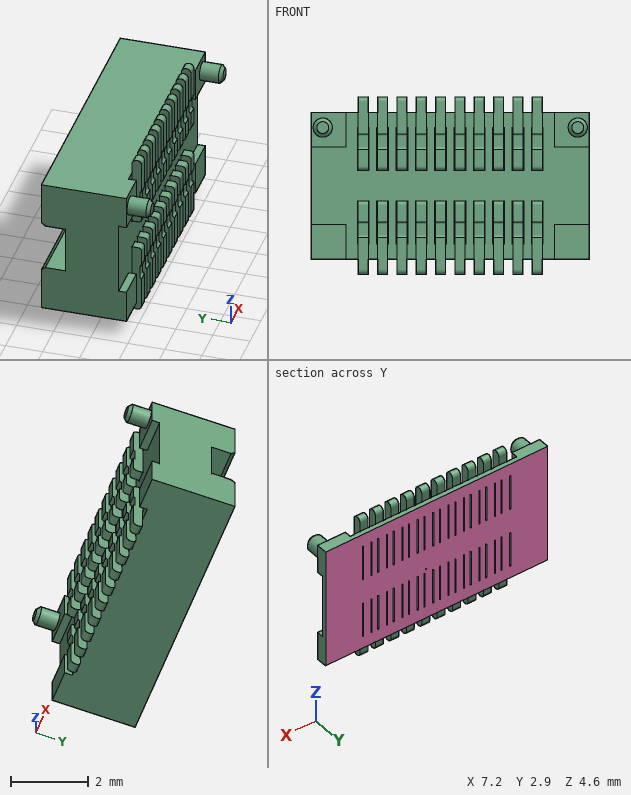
import cadquery as cq
import math


length = 7.2
height = 3.8
depth = 2.3
foot_size = 0.9
foot_height = 0.21
mating_face = depth - foot_height

groove_width = 1.28
groove_depth = 0.65
groove_lead_in = 0.09
groove_lead_in_depth = 0.11

peg_diameter = 0.5
peg_length = 0.605
peg_chamfer = 0.09
peg_end_inset = 0.3
peg_top_inset = 0.395

overall_height = 4.6
contacts_per_row = 10
row_length = 4.5
contact_width = 0.26
contact_thickness = 0.26
contact_length = 1.9
inner_end_radius = 0.1
dip_start = 0.96
dip_end = 1.36
dip_depth = 0.05
dip_radius = 0.065

slot_start = 0.8
slot_width = 0.3
slot_depth = contact_thickness

pitch = row_length / (contacts_per_row - 1)
contact_positions = [i * pitch - row_length / 2 for i in range(contacts_per_row)]
tip_z = overall_height / 2
inner_end_z = tip_z - contact_length


def block(x_range, y_range, z_range):
    """Box between the given (low, high) limits."""
    lows, highs = zip(x_range, y_range, z_range)
    sizes = [high - low for low, high in zip(lows, highs)]
    return cq.Workplane("XY").box(*sizes, centered=False).translate(lows)


def make_housing():
    """Grooved bar with a square foot at each corner of the seat floor."""
    top = height / 2
    groove = groove_width / 2
    mouth = groove + groove_lead_in
    lead_in_end = mating_face - groove_lead_in_depth
    groove_floor = mating_face - groove_depth
    body = (
        cq.Workplane("YZ")
        .polyline([
            (0, -top),
            (mating_face, -top),
            (mating_face, -mouth),
            (lead_in_end, -groove),
            (groove_floor, -groove),
            (groove_floor, groove),
            (lead_in_end, groove),
            (mating_face, mouth),
            (mating_face, top),
            (0, top),
        ])
        .close()
        .extrude(length / 2, both=True)
    )
    foot = block(
        (length / 2 - foot_size, length / 2),
        (-foot_height, 0),
        (top - foot_size, top),
    )
    feet = foot.union(foot.mirror("YZ"))
    return body.union(feet).union(feet.mirror("XY"))


def make_pegs():
    """Chamfered pegs on the two upper feet."""
    peg_x = length / 2 - peg_end_inset
    peg_z = height / 2 - peg_top_inset
    return (
        cq.Workplane("XZ", origin=(0, -foot_height, 0))
        .pushPoints([(-peg_x, peg_z), (peg_x, peg_z)])
        .circle(peg_diameter / 2)
        .extrude(peg_length)
        .faces("<Y")
        .chamfer(peg_chamfer)
    )


def make_contact():
    """Upper contact at X = 0: round outer tip, shallow dip, rounded inner end and a root in its slot."""
    tip_radius = contact_thickness / 2
    outer_face = -contact_thickness
    dip_floor = outer_face + dip_depth
    dip_run = math.sqrt(dip_radius**2 - (dip_radius - dip_depth) ** 2)
    dip_top = tip_z - dip_start
    dip_bottom = tip_z - dip_end
    blade = (
        cq.Workplane("YZ")
        .moveTo(0, tip_z - tip_radius)
        .threePointArc((-tip_radius, tip_z), (outer_face, tip_z - tip_radius))
        .lineTo(outer_face, dip_top)
        .radiusArc((dip_floor, dip_top - dip_run), dip_radius)
        .lineTo(dip_floor, dip_bottom + dip_run)
        .tangentArcPoint((outer_face, dip_bottom), relative=False)
        .lineTo(outer_face, inner_end_z + inner_end_radius)
        .tangentArcPoint((outer_face + inner_end_radius, inner_end_z), relative=False)
        .lineTo(0, inner_end_z)
        .close()
        .extrude(contact_width / 2, both=True)
    )
    return blade.union(slot_block(contact_width))


def slot_block(width):
    """Block of the given width, as deep and as tall as an upper slot."""
    return block((-width / 2, width / 2), (0, slot_depth), (inner_end_z, tip_z - slot_start))


def both_rows(upper):
    """Repeat an upper-row shape along the row and mirror it to the lower row."""
    row = cq.Workplane("XY")
    for x in contact_positions:
        row = row.add(upper.translate((x, 0, 0)))
    row = row.combine()
    return row.union(row.mirror("XY"))


result = (
    make_housing()
    .union(make_pegs())
    .cut(both_rows(slot_block(slot_width)))
    .union(both_rows(make_contact()))
)